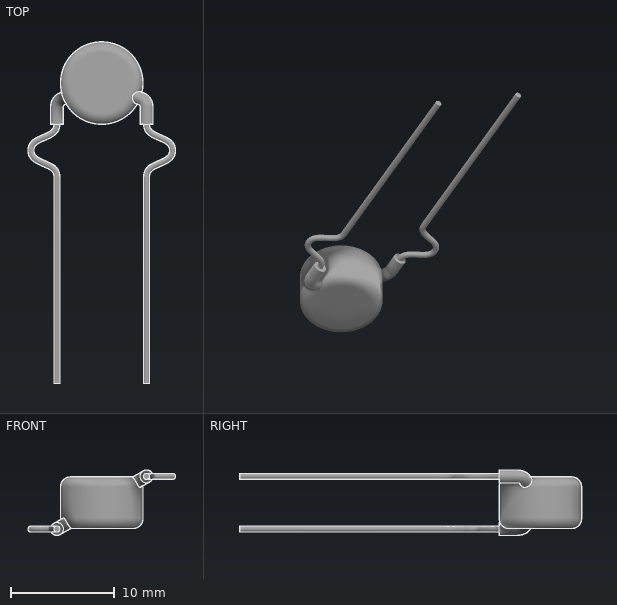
import cadquery as cq
import math

total_length = 33.0
total_width = 14.25
disc_diameter = 8.0
disc_height = 5.0
disc_edge_radius = 1.0

sleeve_diameter = 1.25
sleeve_length = 1.68
sleeve_bend_radius = 0.82
sleeve_bend_angle = 73.0
sleeve_tilt = 30.0
stub_length = 1.32

lead_diameter = 0.6
lead_spacing = 8.65
lead_level = 2.55
kink_half_length = 2.5
kink_handle = 1.45

disc_radius = disc_diameter / 2
lead_x = lead_spacing / 2
sleeve_end_y = -disc_radius
bend_start_y = sleeve_end_y + sleeve_length
kink_peak_x = (total_width - lead_diameter) / 2
kink_peak_y = sleeve_end_y - kink_half_length
kink_end_y = kink_peak_y - kink_half_length
lead_end_y = disc_radius - total_length


def lead_point(x, y):
    """Point in the horizontal plane of the upper lead."""
    return cq.Vector(x, y, lead_level)


def swept_rod(edges, diameter, start):
    """Round rod along tangent edges that leave the start point along Y."""
    path = cq.Workplane(cq.Wire.assembleEdges(edges))
    section_plane = cq.Plane(origin=start.toTuple(), xDir=(1, 0, 0), normal=(0, 1, 0))
    return cq.Workplane(section_plane).circle(diameter / 2).sweep(path)


def both_sides(shape):
    """The upper right shape and its copy turned half a turn about Y, at the lower left."""
    return [shape.rotate((0, 0, 0), (0, 1, 0), angle) for angle in (0, 180)]


def make_sleeve():
    """Coating rod: straight in line with the lead, a tilted bend, then a stub into the disc."""
    tilt = math.radians(sleeve_tilt)
    bend_angle = math.radians(sleeve_bend_angle)
    forward = cq.Vector(0, 1, 0)
    inward = cq.Vector(-math.cos(tilt), 0, -math.sin(tilt))
    start = lead_point(lead_x, sleeve_end_y)
    bend_start = lead_point(lead_x, bend_start_y)
    bend_centre = bend_start + inward * sleeve_bend_radius

    def on_bend(angle):
        outward = forward * math.sin(angle) - inward * math.cos(angle)
        return bend_centre + outward * sleeve_bend_radius

    bend_end = on_bend(bend_angle)
    stub_direction = forward * math.cos(bend_angle) + inward * math.sin(bend_angle)
    stub_end = bend_end + stub_direction * stub_length
    edges = [
        cq.Edge.makeLine(start, bend_start),
        cq.Edge.makeThreePointArc(bend_start, on_bend(bend_angle / 2), bend_end),
        cq.Edge.makeLine(bend_end, stub_end),
    ]
    return swept_rod(edges, sleeve_diameter, start)


def make_coating():
    """Disc with rounded rims, in one piece with its two sleeves."""
    coating = cq.Workplane("XY").cylinder(disc_height, disc_radius)
    coating = coating.edges("%CIRCLE").fillet(disc_edge_radius)
    for sleeve in both_sides(make_sleeve()):
        coating = coating.union(sleeve)
    return coating


def make_lead():
    """Wire from the sleeve end face: an outward kink, then the long straight leg."""
    kink_start = lead_point(lead_x, sleeve_end_y)
    kink_peak = lead_point(kink_peak_x, kink_peak_y)
    kink_end = lead_point(lead_x, kink_end_y)
    handle = cq.Vector(0, -kink_handle, 0)

    def half_kink(first, last):
        return cq.Edge.makeBezier([first, first + handle, last - handle, last])

    edges = [
        half_kink(kink_start, kink_peak),
        half_kink(kink_peak, kink_end),
        cq.Edge.makeLine(kink_end, lead_point(lead_x, lead_end_y)),
    ]
    return swept_rod(edges, lead_diameter, kink_start)


coating = make_coating()
leads = both_sides(make_lead())

result = cq.Compound.makeCompound([coating.solids().val(), *[lead.val() for lead in leads]])